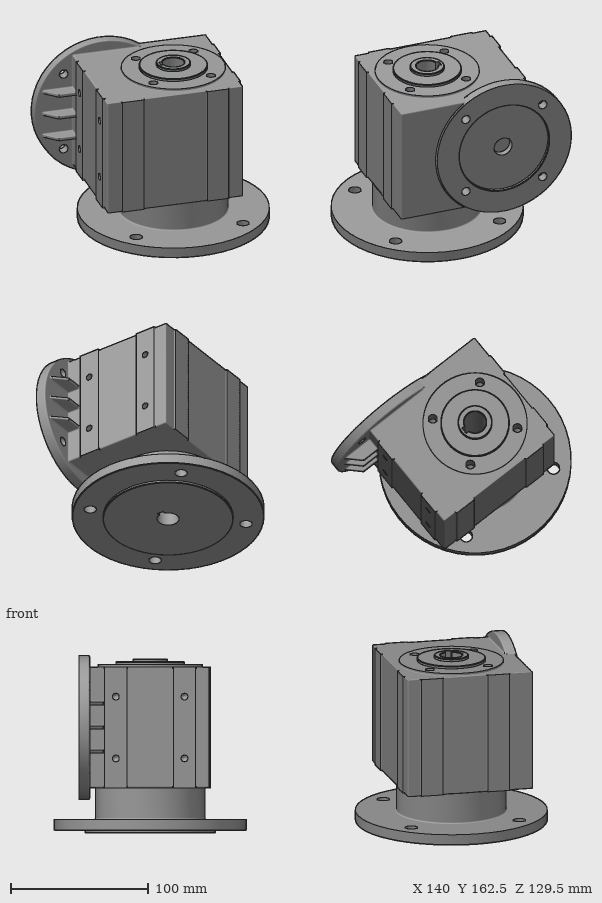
import cadquery as cq
import math


HOUSING_X = (-51.0, 43.0)
HOUSING_Y = (-63.0, 40.0)
HOUSING_HALF_HEIGHT = 44.0
HOUSING_CENTRE_Y = sum(HOUSING_Y) / 2
EDGE_RADIUS = 1.0
FAR_EDGE_RADIUS = 0.5
PAD_HEIGHT = 0.9
PAD_WIDTH = 16.3
PAD_ROOT_RADIUS = 0.5
PAD_OFFSET_Y_FACES = 25.0
PAD_OFFSET_X_FACE = 32.25

MOTOR_AXIS_Y = -40.0
MOTOR_FLANGE_DIAMETER = 105.0
MOTOR_FLANGE_FACE_X = -52.0
MOTOR_FLANGE_THICKNESS = 8.0
MOTOR_FLANGE_BACK_X = MOTOR_FLANGE_FACE_X + MOTOR_FLANGE_THICKNESS
MOTOR_SPIGOT_DIAMETER = 70.0
MOTOR_SPIGOT_DEPTH = 2.5
MOTOR_SPIGOT_CHAMFER = 0.5
MOTOR_BORE_DIAMETER = 14.0
MOTOR_BORE_DEPTH = 5.0
MOTOR_BOLT_CIRCLE = 85.0
BLEND_RADIUS = 0.95

RIB_COUNT = 3
RIB_PITCH = 17.5
RIB_THICKNESS = 2.2
RIB_SIDE_X = -34.25
RIB_CORNER_Y = -76.5
RIB_EDGE_RADIUS = 0.5

COVER_STEP_HEIGHT = 2.0
COVER_DIAMETERS = (76.0, 50.0, 25.0)
COVER_TOP_Z = HOUSING_HALF_HEIGHT + COVER_STEP_HEIGHT
COVER_EDGE_CHAMFER = 0.5
COVER_ROOT_RADIUS = 0.5
SHAFT_END_Z = HOUSING_HALF_HEIGHT + len(COVER_DIAMETERS) * COVER_STEP_HEIGHT
COVER_BOLT_CIRCLE = 62.0
NECK_DIAMETER = 80.0
NECK_ROOT_RADIUS = 1.0
OUTPUT_FLANGE_DIAMETER = 140.0
OUTPUT_FLANGE_Z = (-75.0, -67.0)
OUTPUT_FLANGE_CHAMFER = 0.5
OUTPUT_BOLT_CIRCLE = 115.0
OUTPUT_BOLT_DIAMETER = 9.0
OUTPUT_SPIGOT_DIAMETER = 95.0
OUTPUT_SPIGOT_CHAMFER = 0.5
BASE_Z = -77.0

BORE_DIAMETER = 16.0
BORE_CHAMFER = 0.5
KEYWAY_WIDTH = 5.0
KEYWAY_REACH = 10.1

SCREW_HOLE_DIAMETER = 6.5
PAD_HOLE_DIAMETER = 4.92
PAD_HOLE_OFFSET_Z = 22.5
HOLE_DEPTH = 14.0
DRILL_POINT_ANGLE = 118.0

TOLERANCE = 0.01


def disc(diameter, z_low, z_high):
    """Cylinder on the output axis between two heights."""
    return cq.Workplane("XY").workplane(offset=z_low).circle(diameter / 2).extrude(z_high - z_low)


def block(x_range, y_range, half_height):
    """Box centred on Z = 0."""
    size_x = x_range[1] - x_range[0]
    size_y = y_range[1] - y_range[0]
    centre = (sum(x_range) / 2, sum(y_range) / 2, 0)
    return cq.Workplane("XY").box(size_x, size_y, 2 * half_height).translate(centre)


def square_points(bolt_circle):
    """Four points on a bolt circle, on its diagonals."""
    reach = bolt_circle / 2 / math.sqrt(2)
    return [(u * reach, v * reach) for u in (-1, 1) for v in (-1, 1)]


def drill(origin, direction, diameter):
    """Drilled blind hole: a cylinder ending in a cone."""
    start = cq.Vector(*origin)
    axis = cq.Vector(*direction)
    radius = diameter / 2
    point_length = radius / math.tan(math.radians(DRILL_POINT_ANGLE / 2))
    straight = cq.Solid.makeCylinder(radius, HOLE_DEPTH, start, axis)
    point = cq.Solid.makeCone(radius, 0, point_length, start + axis * HOLE_DEPTH, axis)
    return cq.Workplane(straight.fuse(point))


def housing_block():
    """Block with rounded edges, finer along the top and bottom of the +X and +Y faces."""
    body = block(HOUSING_X, HOUSING_Y, HOUSING_HALF_HEIGHT)
    body = body.edges("|Z or ((<X or <Y) and #Z)").fillet(EDGE_RADIUS)
    return body.edges("(>X or >Y) and #Z").fillet(FAR_EDGE_RADIUS)


def motor_flange():
    return (
        cq.Workplane("YZ", origin=(MOTOR_FLANGE_FACE_X, MOTOR_AXIS_Y, 0))
        .circle(MOTOR_FLANGE_DIAMETER / 2)
        .extrude(MOTOR_FLANGE_THICKNESS)
        .faces(">X")
        .edges()
        .fillet(EDGE_RADIUS)
    )


def pad(foot_centre, turn):
    """Full-height pad with filleted roots, standing out along +Y turned about Z by an angle in degrees."""
    half = PAD_WIDTH / 2
    half_foot = half + PAD_ROOT_RADIUS
    embedded = -2 * EDGE_RADIUS
    return (
        cq.Workplane("XY")
        .moveTo(-half_foot, embedded)
        .lineTo(-half_foot, 0)
        .radiusArc((-half, PAD_ROOT_RADIUS), -PAD_ROOT_RADIUS)
        .lineTo(-half, PAD_HEIGHT)
        .lineTo(half, PAD_HEIGHT)
        .lineTo(half, PAD_ROOT_RADIUS)
        .radiusArc((half_foot, 0), -PAD_ROOT_RADIUS)
        .lineTo(half_foot, embedded)
        .close()
        .extrude(HOUSING_HALF_HEIGHT, both=True)
        .rotate((0, 0, 0), (0, 0, 1), turn)
        .translate((*foot_centre, 0))
    )


def mounting_pads():
    """Two pads on each of the -Y, +Y and +X faces."""
    pads = cq.Workplane("XY")
    for side in (-1, 1):
        x = side * PAD_OFFSET_Y_FACES
        y = HOUSING_CENTRE_Y + side * PAD_OFFSET_X_FACE
        pads = pads.union(pad((x, HOUSING_Y[0]), 180))
        pads = pads.union(pad((x, HOUSING_Y[1]), 0))
        pads = pads.union(pad((HOUSING_X[1], y), -90))
    return pads


def rib(centre_z):
    """Plate whose free corner is cut at 45 degrees down to the flange back, with rounded free edges."""
    root_x = MOTOR_FLANGE_BACK_X
    root_y = HOUSING_Y[0]
    tip_y = RIB_CORNER_Y - (RIB_SIDE_X - root_x)
    plate = (
        cq.Workplane("XY", origin=(0, 0, centre_z - RIB_THICKNESS / 2))
        .moveTo(root_x, root_y)
        .lineTo(root_x, tip_y)
        .lineTo(RIB_SIDE_X, RIB_CORNER_Y)
        .lineTo(RIB_SIDE_X, root_y)
        .close()
        .extrude(RIB_THICKNESS)
    )

    def is_free(edge):
        middle = edge.positionAt(0.5)
        off_root = middle.x > root_x + TOLERANCE and middle.y < root_y - TOLERANCE
        return off_root and abs(middle.z - centre_z) > TOLERANCE

    free_edges = [edge for edge in plate.edges().vals() if is_free(edge)]
    return plate.newObject(free_edges).fillet(RIB_EDGE_RADIUS)


def is_blend_edge(edge):
    """True where the motor flange meets the housing, or a rib meets either of them."""
    middle = edge.positionAt(0.5)
    rim_radius = MOTOR_FLANGE_DIAMETER / 2
    round_start_x = MOTOR_FLANGE_BACK_X - EDGE_RADIUS
    radius = math.hypot(middle.y - MOTOR_AXIS_Y, middle.z)
    depth = middle.x - MOTOR_FLANGE_BACK_X
    face_edge = middle.x < MOTOR_FLANGE_FACE_X + TOLERANCE
    on_rim = abs(radius - rim_radius) < TOLERANCE and middle.x < round_start_x - TOLERANCE and not face_edge
    on_round = -EDGE_RADIUS + TOLERANCE < depth < -TOLERANCE and radius < rim_radius
    on_back = abs(depth) < TOLERANCE and radius < rim_radius - EDGE_RADIUS - TOLERANCE
    on_housing_face = abs(middle.y - HOUSING_Y[0]) < TOLERANCE
    beside_rib = 0 < depth and middle.x < RIB_SIDE_X + TOLERANCE and abs(middle.z) < RIB_PITCH + RIB_THICKNESS
    return on_rim or on_round or on_back or (on_housing_face and beside_rib)


def housing_with_motor_flange():
    body = housing_block().union(motor_flange())
    for index in range(RIB_COUNT):
        body = body.union(rib((index - (RIB_COUNT - 1) / 2) * RIB_PITCH))
    blend_edges = [edge for edge in body.edges().vals() if is_blend_edge(edge)]
    return body.newObject(blend_edges).fillet(BLEND_RADIUS)


def root_ring(diameter, z, radius):
    """Concave fillet ring around a shaft or boss that stands on a plane at height z."""
    inner = diameter / 2
    return (
        cq.Workplane("XZ")
        .moveTo(inner, z)
        .lineTo(inner + radius, z)
        .radiusArc((inner, z + radius), radius)
        .close()
        .revolve(360, (0, 0, 0), (0, 1, 0))
    )


def output_side():
    """Neck, bolting flange and centring spigot below the housing."""
    neck = disc(NECK_DIAMETER, OUTPUT_FLANGE_Z[1], -HOUSING_HALF_HEIGHT)
    neck_root = root_ring(NECK_DIAMETER, OUTPUT_FLANGE_Z[1], NECK_ROOT_RADIUS)
    flange = disc(OUTPUT_FLANGE_DIAMETER, *OUTPUT_FLANGE_Z).faces("<Z").chamfer(OUTPUT_FLANGE_CHAMFER)
    spigot = disc(OUTPUT_SPIGOT_DIAMETER, BASE_Z, OUTPUT_FLANGE_Z[0])
    spigot = spigot.faces("<Z").chamfer(OUTPUT_SPIGOT_CHAMFER)
    return neck.union(neck_root).union(flange).union(spigot)


def cover():
    """Bearing cover of three steps ending in the hollow shaft; the two upper steps are chamfered."""
    steps = root_ring(COVER_DIAMETERS[0], HOUSING_HALF_HEIGHT, COVER_ROOT_RADIUS)
    z_low = HOUSING_HALF_HEIGHT
    for diameter in COVER_DIAMETERS:
        z_high = z_low + COVER_STEP_HEIGHT
        step = disc(diameter, z_low, z_high)
        if z_low > HOUSING_HALF_HEIGHT:
            step = step.faces(">Z").chamfer(COVER_EDGE_CHAMFER)
        steps = steps.union(step)
        z_low = z_high
    return steps


def bore_mouth(radius, chamfer, plane):
    """Conical cutter that chamfers a bore, widest at the plane and tapering along its normal."""
    wide = radius + chamfer
    return cq.Workplane(cq.Solid.makeCone(wide, radius, chamfer, plane.origin, plane.zDir))


def shaft_bore():
    """Through bore with a keyway on its -Y side."""
    mouth = bore_mouth(BORE_DIAMETER / 2, BORE_CHAMFER, cq.Plane((0, 0, SHAFT_END_Z), normal=(0, 0, -1)))
    keyway_y = (-KEYWAY_REACH, 0)
    keyway_x = (-KEYWAY_WIDTH / 2, KEYWAY_WIDTH / 2)
    keyway = block(keyway_x, keyway_y, -BASE_Z)
    return disc(BORE_DIAMETER, BASE_Z, SHAFT_END_Z).union(mouth).union(keyway)


def motor_recess():
    """Centring recess in the motor flange face and the motor shaft bore behind it."""
    face = cq.Workplane("YZ", origin=(MOTOR_FLANGE_FACE_X, MOTOR_AXIS_Y, 0))
    mouth = bore_mouth(MOTOR_SPIGOT_DIAMETER / 2, MOTOR_SPIGOT_CHAMFER, face.plane)
    recess = face.circle(MOTOR_SPIGOT_DIAMETER / 2).extrude(MOTOR_SPIGOT_DEPTH)
    bore = face.circle(MOTOR_BORE_DIAMETER / 2).extrude(MOTOR_SPIGOT_DEPTH + MOTOR_BORE_DEPTH)
    return recess.union(mouth).union(bore)


def drilled_holes():
    """All bolt and screw holes, as one list of cutters."""
    holes = []
    for x, y in square_points(OUTPUT_BOLT_CIRCLE):
        holes.append(disc(OUTPUT_BOLT_DIAMETER, *OUTPUT_FLANGE_Z).translate((x, y, 0)))
    for x, y in square_points(COVER_BOLT_CIRCLE):
        holes.append(drill((x, y, COVER_TOP_Z), (0, 0, -1), SCREW_HOLE_DIAMETER))
    for y, z in square_points(MOTOR_BOLT_CIRCLE):
        holes.append(drill((MOTOR_FLANGE_FACE_X, MOTOR_AXIS_Y + y, z), (1, 0, 0), SCREW_HOLE_DIAMETER))
    pad_face_y = HOUSING_Y[0] - PAD_HEIGHT
    for x in (-PAD_OFFSET_Y_FACES, PAD_OFFSET_Y_FACES):
        for z in (-PAD_HOLE_OFFSET_Z, PAD_HOLE_OFFSET_Z):
            holes.append(drill((x, pad_face_y, z), (0, 1, 0), PAD_HOLE_DIAMETER))
    return holes


result = housing_with_motor_flange()
result = result.union(mounting_pads())
result = result.union(output_side())
result = result.union(cover())
result = result.cut(shaft_bore())
result = result.cut(motor_recess())
for hole in drilled_holes():
    result = result.cut(hole)